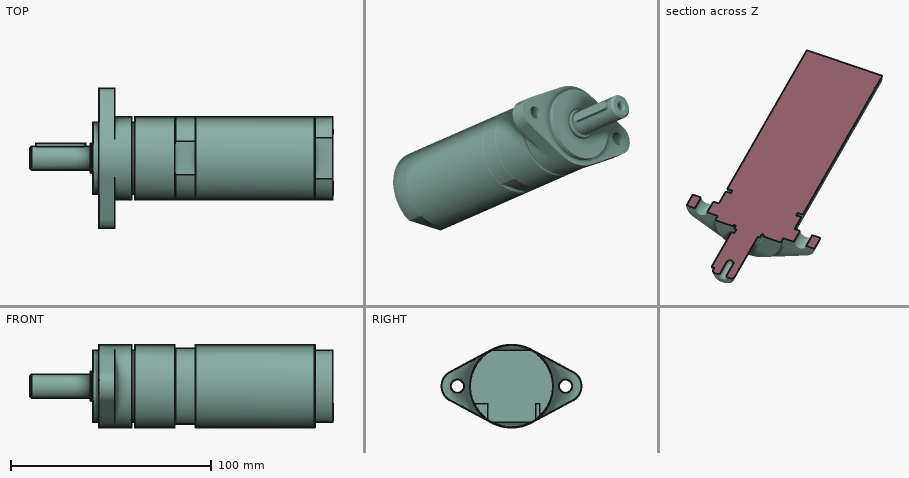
import cadquery as cq
import math


shaft_dia = 12.0
shaft_chamfer = 1.0
shaft_length = 31.5

centre_mouth_dia = 5.0
centre_drill_dia = 3.24
centre_drill_depth = 10.0
drill_point_angle = 118.0

key_width = 4.0
key_length = 25.0
key_start = 2.9
key_top = 7.5
key_seat = 3.5

seal_dia = 14.95
seal_projection = 1.3
seal_front_dia = 14.3
seal_lip_length = 0.5
recess_dia = 16.0
recess_depth = 1.0

body_dia = 41.5
pilot_dia = 36.0
flange_face = 34.5
flange_thickness = 8.0
groove_start = 51.0
groove_end = 52.5
first_flats_start = 72.5
first_flats_end = 82.5
last_flats_start = 142.5
housing_end = 151.3
edge_chamfer = 0.35

first_flats_width = 38.0
last_flats_width = 36.0

lobe_radius = 8.0
bolt_offset = 27.0
bolt_hole_dia = 6.5

mark_height = 0.2
port_marks = [(13.1, 2.0), (-15.0, 6.3)]
mark_top = -8.7
mark_bottom = -17.2


def cylinder(start, end, diameter):
    """Cylinder on the shaft axis between two X positions."""
    return cq.Workplane("YZ", origin=(start, 0, 0)).circle(diameter / 2).extrude(end - start)


def cut_flats(barrel, width):
    """Barrel trimmed to flats facing up and down, `width` apart."""
    return barrel.intersect(cq.Workplane("XY").box(2 * housing_end, body_dia, width))


def make_flange():
    """Round centre joined by tangent lines to a smaller lobe on each side."""
    body_radius = body_dia / 2
    tilt_sin = (body_radius - lobe_radius) / bolt_offset
    tilt_cos = math.sqrt(1 - tilt_sin**2)
    body_y, body_z = body_radius * tilt_sin, body_radius * tilt_cos
    lobe_y, lobe_z = bolt_offset + lobe_radius * tilt_sin, lobe_radius * tilt_cos
    lobe_tip = bolt_offset + lobe_radius
    return (
        cq.Workplane("YZ", origin=(flange_face, 0, 0))
        .moveTo(body_y, body_z)
        .lineTo(lobe_y, lobe_z)
        .threePointArc((lobe_tip, 0), (lobe_y, -lobe_z))
        .lineTo(body_y, -body_z)
        .threePointArc((0, -body_radius), (-body_y, -body_z))
        .lineTo(-lobe_y, -lobe_z)
        .threePointArc((-lobe_tip, 0), (-lobe_y, lobe_z))
        .lineTo(-body_y, body_z)
        .threePointArc((0, body_radius), (body_y, body_z))
        .close()
        .extrude(flange_thickness)
    )


def cut_bolt_holes(part):
    holes = (
        cq.Workplane("YZ", origin=(flange_face, 0, 0))
        .pushPoints([(-bolt_offset, 0), (bolt_offset, 0)])
        .circle(bolt_hole_dia / 2)
        .extrude(flange_thickness)
    )
    return part.cut(holes)


def make_housing():
    first_barrel = cylinder(first_flats_start, first_flats_end, body_dia).faces("<X").chamfer(edge_chamfer)
    first_flats = cut_flats(first_barrel, first_flats_width)
    last_flats = cut_flats(cylinder(last_flats_start, housing_end, body_dia), last_flats_width)
    second_drum = cylinder(first_flats_end, last_flats_start, body_dia)
    second_drum = second_drum.faces("<X or >X").chamfer(edge_chamfer)
    return (
        cylinder(shaft_length, flange_face, pilot_dia)
        .union(make_flange())
        .union(cylinder(flange_face, groove_start, body_dia))
        .union(cylinder(groove_start, groove_end, pilot_dia))
        .union(cylinder(groove_end, first_flats_start, body_dia))
        .union(first_flats)
        .union(second_drum)
        .union(last_flats)
    )


def make_port_marks():
    """Low raised pads on the rear face, trimmed to the round of the housing."""
    mark_length = mark_top - mark_bottom
    mark_z = (mark_top + mark_bottom) / 2
    marks = cq.Workplane("YZ", origin=(housing_end, 0, 0))
    for mark_y, mark_width in port_marks:
        marks = marks.moveTo(mark_y, mark_z).rect(mark_width, mark_length)
    rear_outline = cylinder(housing_end, housing_end + mark_height, body_dia)
    return marks.extrude(mark_height).intersect(rear_outline)


def make_shaft_seal():
    """Seal ring with a flared lip: widest at the lip edge, narrower in front and behind."""
    front = shaft_length - seal_projection
    lip_edge = front + seal_lip_length
    flare = (
        cq.Workplane("YZ", origin=(front, 0, 0))
        .circle(seal_front_dia / 2)
        .workplane(offset=seal_lip_length)
        .circle(seal_dia / 2)
        .loft()
    )
    return flare.union(cylinder(lip_edge, shaft_length + recess_depth, seal_front_dia))


def make_key():
    return (
        cq.Workplane("XZ", origin=(key_start + key_length / 2, key_seat, 0))
        .slot2D(key_length, key_width)
        .extrude(key_seat - key_top)
    )


def make_centre_hole():
    mouth_radius = centre_mouth_dia / 2
    drill_radius = centre_drill_dia / 2
    countersink_depth = mouth_radius - drill_radius
    point_depth = drill_radius / math.tan(math.radians(drill_point_angle / 2))
    return (
        cq.Workplane("XY")
        .moveTo(0, 0)
        .lineTo(0, mouth_radius)
        .lineTo(countersink_depth, drill_radius)
        .lineTo(centre_drill_depth, drill_radius)
        .lineTo(centre_drill_depth + point_depth, 0)
        .close()
        .revolve(360, (0, 0, 0), (1, 0, 0))
    )


recess = cylinder(shaft_length, shaft_length + recess_depth, recess_dia)
shaft = cylinder(0, flange_face, shaft_dia).faces("<X").chamfer(shaft_chamfer)

result = (
    cut_bolt_holes(make_housing())
    .cut(recess)
    .union(make_shaft_seal())
    .union(shaft)
    .union(make_key())
    .union(make_port_marks())
    .cut(make_centre_hole())
)